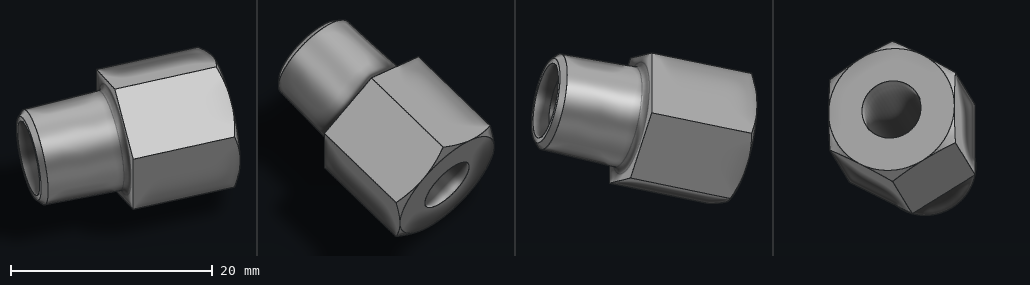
import cadquery as cq
import math

total_length = 20.0
across_flats = 12.7
hex_length = 11.08
across_corners = across_flats / math.cos(math.radians(30))

spigot_root_diameter = 10.15
spigot_end_diameter = 9.7
tip_diameter = 8.55
tip_chamfer_length = 0.55
root_fillet_radius = 0.58
spigot_length = total_length - hex_length

bore_diameter = 5.95
mouth_diameter = 7.55
mouth_half_angle = 30.0

hex_chamfer_angle = 30.0


def revolve_about_y(points):
    """Revolve a closed (radius, y) outline about the Y axis."""
    return cq.Workplane("XY").polyline(points).close().revolve(360, (0, 0, 0), (0, 1, 0))


def make_hexagon():
    """Hexagonal body with corners towards +Z and -Z and a chamfered far end."""
    body = (
        cq.Workplane("XZ", origin=(0, total_length, 0))
        .transformed(rotate=(0, 0, 90))
        .polygon(6, across_corners)
        .extrude(hex_length)
    )
    flat_radius = across_flats / 2
    corner_radius = across_corners / 2
    chamfer_length = (corner_radius - flat_radius) * math.tan(math.radians(hex_chamfer_angle))
    envelope = revolve_about_y([
        (0, spigot_length),
        (corner_radius, spigot_length),
        (corner_radius, total_length - chamfer_length),
        (flat_radius, total_length),
        (0, total_length),
    ])
    return body.intersect(envelope)


def make_spigot():
    """Tapered spigot with a chamfered tip and a concave fillet at its root."""
    root_radius = spigot_root_diameter / 2
    fillet_start = spigot_length - root_fillet_radius
    fillet_centre_radius = root_radius + root_fillet_radius
    arc_offset = root_fillet_radius * math.sqrt(0.5)
    return (
        cq.Workplane("XY")
        .moveTo(0, 0)
        .lineTo(tip_diameter / 2, 0)
        .lineTo(spigot_end_diameter / 2, tip_chamfer_length)
        .lineTo(root_radius, fillet_start)
        .threePointArc(
            (fillet_centre_radius - arc_offset, fillet_start + arc_offset),
            (fillet_centre_radius, spigot_length),
        )
        .lineTo(0, spigot_length)
        .close()
        .revolve(360, (0, 0, 0), (0, 1, 0))
    )


def make_bore():
    """Through bore, widening to a cone at the spigot tip."""
    bore_radius = bore_diameter / 2
    mouth_radius = mouth_diameter / 2
    mouth_depth = (mouth_radius - bore_radius) / math.tan(math.radians(mouth_half_angle))
    return revolve_about_y([
        (0, 0),
        (mouth_radius, 0),
        (bore_radius, mouth_depth),
        (bore_radius, total_length),
        (0, total_length),
    ])


result = make_hexagon().union(make_spigot()).cut(make_bore())